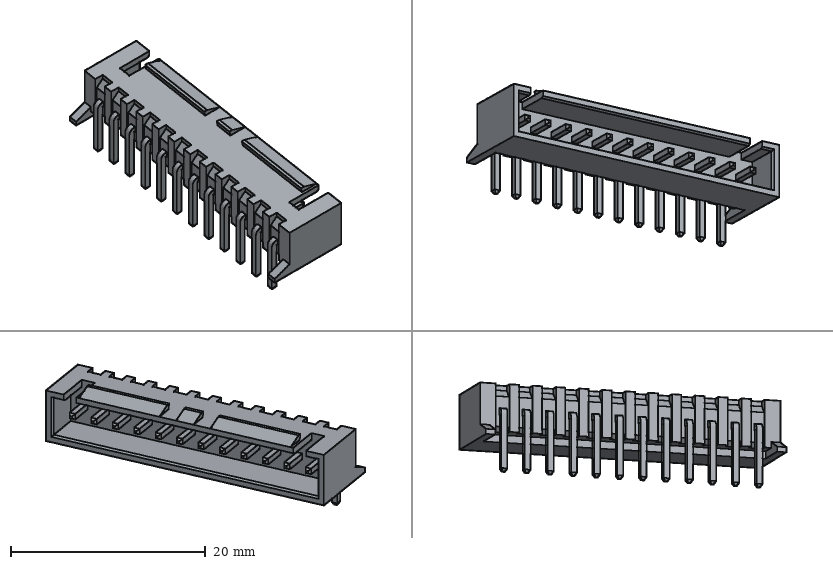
import cadquery as cq


length = 32.4
depth = 7.0
height = 5.77
wall = 0.78
cavity_depth = 4.0
mouth_flare_depth = 0.3
mouth_flare_spread = 0.15

slot_width = 1.5
slot_end_offset = 2.07

step_height = 0.78
step_depth = 1.95

foot_width = 1.0
foot_reach = 2.0
foot_root_height = 1.4
foot_tip_height = 0.52

pin_count = 12
pin_row_span = 27.5
pitch = pin_row_span / (pin_count - 1)
pin_positions = [i * pitch - pin_row_span / 2 for i in range(pin_count)]
pin_size = 0.65
pin_top_drop = 2.55
pin_mouth_gap = 0.9
pin_rear_reach = 0.58
leg_drop = 3.5
tip_length = 0.32
tip_size = 0.25

groove_width = 1.5
groove_depth = 1.0
groove_shallow_depth = 0.2
groove_ramp_start = 0.52
groove_ramp_end = 1.3
groove_floor_height = 1.3
groove_floor_run = groove_floor_height - step_height

rib_height = 0.6
rib_ramp_run = 1.75
rib_top_end = 2.15
rib_foot_end = 2.0
short_rib_length = 2.05
long_rib_length = 9.35
rib_gap = 1.95
long_rib_center = short_rib_length / 2 + rib_gap + long_rib_length / 2


def extrude_along_x(points, width, center_x):
    """Solid with a (Y, Z) outline, spread evenly about center_x."""
    profile = cq.Workplane("YZ", origin=(center_x, 0, 0)).polyline(points).close()
    return profile.extrude(width / 2, both=True)


def block(x_range, y_range, z_range):
    """Box given by its limits along each axis."""
    size = [limits[1] - limits[0] for limits in (x_range, y_range, z_range)]
    corner = (x_range[0], y_range[0], z_range[0])
    return cq.Workplane("XY").box(*size, centered=False).translate(corner)


def make_cavity():
    """Mating cavity with a flared mouth."""
    inner_length = length - 2 * wall
    inner_height = height - 2 * wall
    bore = block(
        (-inner_length / 2, inner_length / 2),
        (depth - cavity_depth, depth),
        (wall, height - wall),
    )
    mouth_length = inner_length + 2 * mouth_flare_spread
    mouth_height = inner_height + 2 * mouth_flare_spread
    mouth_plane = cq.Workplane("XZ", origin=(0, depth, height / 2))
    flare = (
        mouth_plane.rect(mouth_length, mouth_height)
        .workplane(offset=mouth_flare_depth)
        .rect(inner_length, inner_height)
        .loft(ruled=True)
    )
    return bore.union(flare)


def make_slot(side):
    """Opening in the top wall near one end; side is -1 or 1."""
    center_x = side * (length / 2 - slot_end_offset - slot_width / 2)
    return block(
        (center_x - slot_width / 2, center_x + slot_width / 2),
        (depth - cavity_depth, depth),
        (height / 2, height),
    )


def make_groove(center_x):
    """Rear groove: deep at the top, sloping out to a shallow face, sloping in again below."""
    outline = [
        (0, height),
        (groove_depth, height),
        (groove_depth, height - groove_ramp_start),
        (groove_shallow_depth, height - groove_ramp_end),
        (groove_shallow_depth, groove_floor_height),
        (groove_shallow_depth + groove_floor_run, step_height),
        (0, step_height),
    ]
    return extrude_along_x(outline, groove_width, center_x)


def make_foot(side):
    """Tapered foot behind one end of the body, running under it beside the step."""
    outline = [
        (step_depth, 0),
        (-foot_reach, 0),
        (-foot_reach, foot_tip_height),
        (0, foot_root_height),
        (step_depth, foot_root_height),
    ]
    return extrude_along_x(outline, foot_width, side * (length - foot_width) / 2)


def make_rib(rib_length, center_x):
    """Wedge rib rising from the mouth edge to a flat crest with an undercut back."""
    outline = [
        (depth, height),
        (depth - rib_ramp_run, height + rib_height),
        (depth - rib_top_end, height + rib_height),
        (depth - rib_foot_end, height),
    ]
    return extrude_along_x(outline, rib_length, center_x)


def make_pin(center_x):
    """Square pin bent through a right angle, tapered at both ends."""
    contact_top = height - pin_top_drop
    contact_center_z = contact_top - pin_size / 2
    contact_end = depth - pin_mouth_gap
    leg_rear = -pin_rear_reach
    leg_front = leg_rear + pin_size
    leg_center_y = leg_rear + pin_size / 2

    bent_bar = (
        cq.Workplane("YZ", origin=(center_x, 0, 0))
        .moveTo(contact_end - tip_length, contact_top)
        .lineTo(leg_front, contact_top)
        .radiusArc((leg_rear, contact_top - pin_size), -pin_size)
        .lineTo(leg_rear, tip_length - leg_drop)
        .lineTo(leg_front, tip_length - leg_drop)
        .lineTo(leg_front, contact_top - pin_size)
        .lineTo(contact_end - tip_length, contact_top - pin_size)
        .close()
        .extrude(pin_size / 2, both=True)
    )
    contact_tip = make_tip(cq.Workplane("XZ", origin=(center_x, contact_end, contact_center_z)))
    leg_tip = make_tip(cq.Workplane("XY", origin=(center_x, leg_center_y, -leg_drop)))
    return bent_bar.union(contact_tip).union(leg_tip)


def make_tip(end_plane):
    """Tapered pin end growing from the small end face to the full pin section."""
    return (
        end_plane.rect(tip_size, tip_size)
        .workplane(offset=tip_length)
        .rect(pin_size, pin_size)
        .loft(ruled=True)
    )


housing = block((-length / 2, length / 2), (0, depth), (0, height))
housing = housing.cut(make_cavity())
step_end_x = length / 2 - foot_width
housing = housing.cut(block((-step_end_x, step_end_x), (0, step_depth), (0, step_height)))
for pin_x in pin_positions:
    housing = housing.cut(make_groove(pin_x))

housing = housing.union(make_rib(short_rib_length, 0))
for side in (-1, 1):
    housing = housing.cut(make_slot(side))
    housing = housing.union(make_foot(side))
    housing = housing.union(make_rib(long_rib_length, side * long_rib_center))

result = housing
for pin_x in pin_positions:
    result = result.union(make_pin(pin_x))